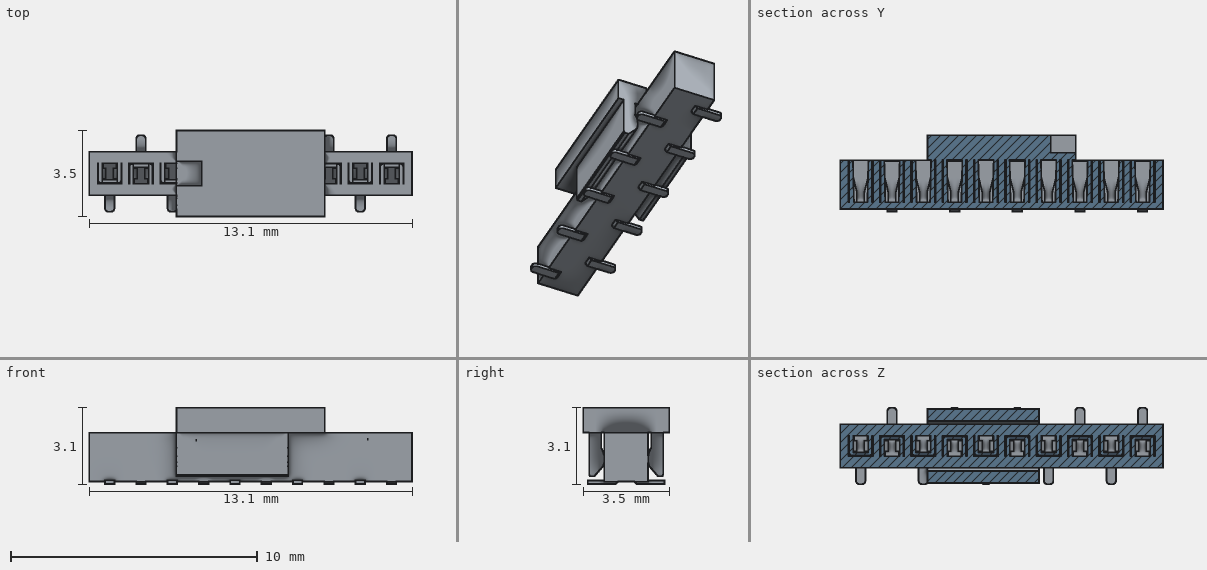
import cadquery as cq


housing_length = 13.1
housing_width = 1.78
housing_bottom = 0.1
housing_top = 2.1

contact_count = 10
pitch = 1.27

cavity_length = 0.98
cavity_width = 0.83
cavity_depth = 1.7
sleeve_gap = 0.03
sleeve_corner_radius = 0.1
arm_thickness = 0.16
arm_lean = 0.04
back_thickness = 0.13
back_drop = 0.05
tongue_width = 0.42
tongue_reach = 0.16
tongue_top_depth = 0.65
tongue_tip_depth = 1.31

tail_width = 0.39
tail_thickness = 0.16
tail_tip_y = 1.56
tail_heel_y = 0.29
tail_heel_chamfer = 0.15
tail_tip_radius = 0.16

cap_length = 6.03
cap_width = 3.5
cap_top = 3.1
cap_start_x = -cap_length / 2
notch_length = 1.02
notch_width = 1.0
notch_depth = 0.71

leg_length = 4.53
leg_outer_y = 1.5
leg_inner_y = 1.01
leg_bottom = 0.31
leg_tip_inner_y = 1.3
leg_tip_chamfer_y = 0.04
leg_tip_chamfer_z = 0.08
bulge_start_z = 1.48
leg_grip = 0.007
bulge_peak_y = housing_width / 2 - leg_grip
bulge_peak_z = 0.97
bulge_end_y = 0.93
bulge_end_z = 0.73


def block(x_size, y_size, bottom, top):
    """Box centred on X and Y between two heights."""
    return cq.Workplane("XY").workplane(offset=bottom).rect(x_size, y_size).extrude(top - bottom)


def socket_void():
    """Empty space of one socket whose sleeve is open towards +Y."""
    floor = housing_top - cavity_depth
    cavity_back = -cavity_width / 2
    sleeve_back = cavity_back + sleeve_gap
    sleeve_length = cavity_length - 2 * sleeve_gap
    bore_length = sleeve_length - 2 * arm_thickness
    bore_back = sleeve_back + back_thickness
    bore_width = cavity_width / 2 - bore_back
    bore_center_y = bore_back + bore_width / 2

    sleeve = block(sleeve_length, cavity_width - sleeve_gap, floor, housing_top)
    sleeve = sleeve.translate((0, sleeve_gap / 2, 0))
    sleeve = sleeve.edges("|Z and <Y").fillet(sleeve_corner_radius)
    bore = (
        cq.Workplane("XZ")
        .moveTo(-bore_length / 2, housing_top)
        .lineTo(bore_length / 2, housing_top)
        .lineTo(bore_length / 2 - arm_lean, floor)
        .lineTo(-bore_length / 2 + arm_lean, floor)
        .close()
        .extrude(bore_width / 2, both=True)
        .translate((0, bore_center_y, 0))
    )
    back_recess = block(bore_length, back_thickness, housing_top - back_drop, housing_top)
    back_recess = back_recess.translate((0, sleeve_back + back_thickness / 2, 0))
    void = block(cavity_length, cavity_width, floor, housing_top).cut(sleeve).union(bore).union(back_recess)

    tongue = (
        cq.Workplane("XZ")
        .moveTo(-bore_length / 2, housing_top - tongue_top_depth)
        .lineTo(-bore_length / 2 + tongue_reach, housing_top - tongue_tip_depth)
        .lineTo(-bore_length / 2 + tongue_reach, floor)
        .lineTo(-bore_length / 2, floor)
        .close()
        .extrude(tongue_width / 2, both=True)
    )
    return void.cut(tongue).cut(tongue.mirror("YZ"))


def solder_tail():
    """Flat tail pointing to -Y with a rounded tip and a chamfered inner end."""
    tail_length = tail_tip_y - tail_heel_y
    tail = block(tail_width, tail_length, 0, tail_thickness)
    tail = tail.translate((0, -tail_heel_y - tail_length / 2, 0))
    tail = tail.edges("|Z and <Y").fillet(tail_tip_radius)
    return tail.edges("|X and >Y and <Z").chamfer(tail_heel_chamfer)


def cap_leg():
    """Leg on the +Y side with a rounded bulge that grips the housing."""
    return (
        cq.Workplane("YZ")
        .workplane(offset=cap_start_x)
        .moveTo(leg_outer_y, housing_top)
        .lineTo(leg_inner_y, housing_top)
        .lineTo(leg_inner_y, bulge_start_z)
        .threePointArc((bulge_peak_y, bulge_peak_z), (bulge_end_y, bulge_end_z))
        .lineTo(leg_tip_inner_y, leg_bottom)
        .lineTo(leg_outer_y - leg_tip_chamfer_y, leg_bottom)
        .lineTo(leg_outer_y, leg_bottom + leg_tip_chamfer_z)
        .close()
        .extrude(leg_length)
    )


def pickup_cap():
    """Cap plate with an end notch and a leg on each side."""
    plate = block(cap_length, cap_width, housing_top, cap_top)
    notch = block(notch_length, notch_width, cap_top - notch_depth, cap_top)
    plate = plate.cut(notch.translate((cap_start_x + notch_length / 2, 0, 0)))
    leg = cap_leg()
    return plate.union(leg).union(leg.mirror("XZ"))


def socket_strip():
    """Housing with its sockets and tails; neighbouring contacts face opposite ways."""
    strip = block(housing_length, housing_width, housing_bottom, housing_top)
    void = socket_void()
    tail = solder_tail()
    for index in range(contact_count):
        x = (index - (contact_count - 1) / 2) * pitch
        turn = 180 * (index % 2)
        strip = strip.cut(void.rotate((0, 0, 0), (0, 0, 1), turn).translate((x, 0, 0)))
        strip = strip.union(tail.rotate((0, 0, 0), (0, 0, 1), turn).translate((x, 0, 0)))
    return strip


result = socket_strip().union(pickup_cap())